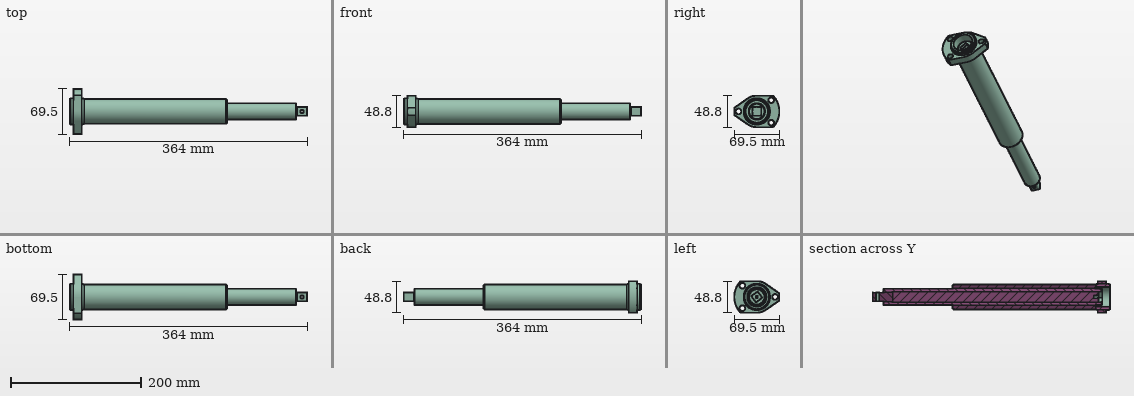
import cadquery as cq
import math

total_length = 364.0

collar_radius = 20.5
collar_length = 22.2
collar_bore_radius = 15.0
collar_rear_chamfer = 2.0

flange_start = 6.0
flange_thickness = 13.0
flange_width = 69.5
flange_height = 48.8
flange_nose_half_height = 6.0
hole_circle_radius = 28.0
hole_diameter = 8.5
hole_angles = (-38.0, 38.0, 180.0)

tube_radius = 19.3
tube_end = 241.7
tube_end_chamfer = 2.2

rod_radius = 12.7
rod_start = 12.0
rod_end = 347.5
rod_chamfer = 1.0

tang_side = 14.0
tang_edge_radius = 2.2
tang_neck_length = 1.0
tang_neck_radius = tang_side / 2
tang_plug_depth = tang_side
cross_hole_diameter = 4.7

spindle_side = 12.0
spindle_angle = 53.0
spindle_recess = 5.5
center_hole_diameter = 3.5
center_hole_depth = 7.3

taper_start = flange_start + flange_thickness
plug_start = rod_end - tang_plug_depth
tang_square_start = rod_end + tang_neck_length


def cross_section(x):
    """Workplane across the axis at station x: its local x is +Y, its local y is +Z."""
    return cq.Workplane("YZ", origin=(x, 0, 0))


def cylinder(start, end, radius):
    return cross_section(start).circle(radius).extrude(end - start)


def square_bar(start, end, side):
    return cross_section(start).rect(side, side).extrude(end - start)


def turned_square_bar(start, end):
    """Square bar of the spindle's size, turned about the axis by the spindle's angle."""
    bar = square_bar(start, end, spindle_side)
    return bar.rotate((0, 0, 0), (1, 0, 0), spindle_angle)


def point_at(radius, angle):
    return (radius * math.cos(angle), radius * math.sin(angle))


def flange_plate():
    """Flat top and bottom, round broad end, and straight flanks tangent to the round sides."""
    end_radius = flange_width / 2
    side_radius = flange_height / 2
    shoulder_y = math.sqrt(end_radius**2 - side_radius**2)
    nose_y = -math.sqrt(end_radius**2 - flange_nose_half_height**2)
    nose_angle = math.atan2(flange_nose_half_height, nose_y)
    tangent_angle = nose_angle - math.acos(side_radius / end_radius)
    flank_y, flank_z = point_at(side_radius, tangent_angle)
    side_y, side_z = point_at(side_radius, (math.pi / 2 + tangent_angle) / 2)
    return (
        cross_section(flange_start)
        .moveTo(shoulder_y, side_radius)
        .lineTo(0, side_radius)
        .threePointArc((side_y, side_z), (flank_y, flank_z))
        .lineTo(nose_y, flange_nose_half_height)
        .threePointArc((-end_radius, 0), (nose_y, -flange_nose_half_height))
        .lineTo(flank_y, -flank_z)
        .threePointArc((side_y, -side_z), (0, -side_radius))
        .lineTo(shoulder_y, -side_radius)
        .threePointArc((end_radius, 0), (shoulder_y, side_radius))
        .close()
        .extrude(flange_thickness)
    )


def make_flange():
    hole_centers = [point_at(hole_circle_radius, math.radians(angle)) for angle in hole_angles]
    holes = (
        cross_section(flange_start)
        .pushPoints(hole_centers)
        .circle(hole_diameter / 2)
        .extrude(flange_thickness)
    )
    collar_seat = cylinder(flange_start, taper_start, collar_radius)
    return flange_plate().cut(holes).cut(collar_seat)


def make_collar():
    """Ring with a chamfered rear rim and a taper that narrows to the tube ahead of the flange."""
    body = cylinder(0, taper_start, collar_radius)
    body = body.faces("<X").chamfer(collar_rear_chamfer)
    taper = cross_section(taper_start).circle(collar_radius)
    taper = taper.workplane(offset=collar_length - taper_start).circle(tube_radius).loft()
    return body.union(taper).cut(cylinder(0, collar_length, collar_bore_radius))


def make_tube():
    body = cylinder(collar_length, tube_end, tube_radius)
    body = body.faces(">X").chamfer(tube_end_chamfer)
    return body.cut(cylinder(collar_length, tube_end, rod_radius))


def make_rod():
    """Chamfered round rod with a square hole for the spindle and a round socket for the tang."""
    body = cylinder(rod_start, rod_end, rod_radius)
    body = body.faces("<X or >X").chamfer(rod_chamfer)
    body = body.cut(turned_square_bar(rod_start, plug_start))
    return body.cut(cylinder(plug_start, rod_end, tang_neck_radius))


def make_spindle():
    start = rod_start + spindle_recess
    center_hole = cylinder(start, start + center_hole_depth, center_hole_diameter / 2)
    return turned_square_bar(start, plug_start).cut(center_hole)


def make_tang():
    """Round plug and neck, then a square with rounded long edges and a vertical cross hole."""
    square = square_bar(tang_square_start, total_length, tang_side)
    square = square.edges("|X").fillet(tang_edge_radius)
    neck = cylinder(plug_start, tang_square_start, tang_neck_radius)
    cross_hole_x = (tang_square_start + total_length) / 2
    cross_hole = (
        cq.Workplane("XY", origin=(cross_hole_x, 0, -tang_side / 2))
        .circle(cross_hole_diameter / 2)
        .extrude(tang_side)
    )
    return square.union(neck).cut(cross_hole)


collar = make_collar()
flange = make_flange()
tube = make_tube()
rod = make_rod()
spindle = make_spindle()
tang = make_tang()

result = cq.Compound.makeCompound(
    [collar.val(), flange.val(), tube.val(), rod.val(), spindle.val(), tang.val()]
)